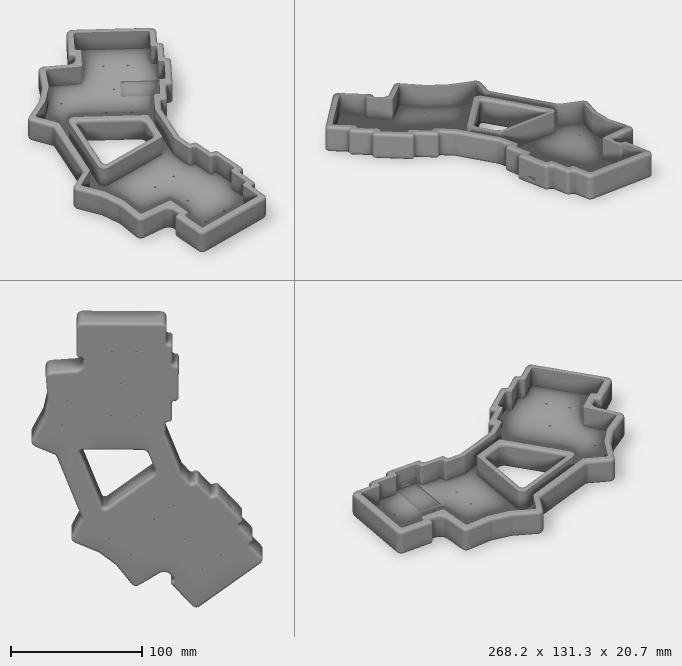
import cadquery as cq
import math


HEIGHT = 20.7
FLOOR = 3.2
WALL = 5.0
RIM_RADIUS = 2.5

SPLAY = 20
COLUMN = 18.5
STAGGER = 4.8
INNER_COLUMN = 45.5
OUTER_COLUMN = 85.7
BLOCK_SIDE = 123.0
BLOCK_BACK = 19.4
BLOCK_FRONT = -39.0
NOTCH_OUTER = 102.0
NOTCH_INNER = 81.7

THUMB_START_X = 31.5
THUMB_TIP = (45.5, -60.7)
THUMB_MIDDLE = (60.0, -46.2)
THUMB_OUTER = (75.5, -37.0)
THUMB_END = (95.7, -31.5)

BRIDGE_BACK = 27.7
BRIDGE_FRONT = -47.0
OPENING_BACK = 14.8
OPENING_FRONT = -34.0
OPENING_SIDE = 15.0

CAVITY_SHARP = 1.5
CAVITY_STEP = 2.0
OUTER_CORNER = 4.3
TIP_RADIUS = 4.8
OUTER_BEND = 3.0
STEP_RIDGE = 2.5
STEP_VALLEY = 2.2
NOTCH_RADIUS = 6.2
OPENING_FRONT_RADIUS = 2.5
OPENING_BACK_RADIUS = 5.0
RING_FRONT_RADIUS = 4.8
RING_BACK_RADIUS = 1.0

BACK_TONGUE = 10.0
FRONT_TONGUE = 15.3

SCREW_DIAMETER = 2.0
KEY_SCREWS = [(103.2, 2.0), (103.2, -17.0), (74.7, -10.0), (46.0, 2.2), (46.0, -17.2)]
THUMB_SCREWS = [(72.5, -27.7), (53.5, -38.5)]

RECESS_START = 65.0
RECESS_WIDTH = 19.0
RECESS_FRONT = -4.8
RECESS_DEPTH = 1.0
RECESS_IN_WALL = 0.8
RECESS_TOP = 6.0
PLUG_WIDTH = 8.0
PLUG_HEIGHT = 3.5
PLUG_ABOVE_FLOOR = 2.0

splay = math.radians(SPLAY)


def splayed(u, v):
    """Position (x, y) of a point of the right key block."""
    return (u * math.cos(splay) - v * math.sin(splay), u * math.sin(splay) + v * math.cos(splay))


def u_axis_point(u, y):
    """Position (x, y) on the slanted line of constant u, at the given y."""
    return ((u - y * math.sin(splay)) / math.cos(splay), y)


def v_axis_point(v, y):
    """Position (x, y) on the slanted line of constant v, at the given y."""
    return ((y * math.cos(splay) - v) / math.sin(splay), y)


def both_sides(corners):
    """Right-half corners (point, radii) followed by their mirror images."""
    return corners + [((-x, y), *radii) for (x, y), *radii in reversed(corners)]


def turn_at(before, corner, after):
    """Direction of arrival at a corner and signed turn taken there, in radians."""
    arrive = math.atan2(corner[1] - before[1], corner[0] - before[0])
    leave = math.atan2(after[1] - corner[1], after[0] - corner[0])
    return arrive, math.remainder(leave - arrive, math.tau)


def with_neighbours(points):
    """Each point of a closed polygon between the points before and after it."""
    return zip(points[-1:] + points[:-1], points, points[1:] + points[:1])


def grown(points, distance):
    """Counterclockwise polygon with every side moved outward by the distance."""
    moved = []
    for before, corner, after in with_neighbours(points):
        arrive, turn = turn_at(before, corner, after)
        outward = arrive + turn / 2 - math.pi / 2
        reach = distance / math.cos(turn / 2)
        moved.append((corner[0] + reach * math.cos(outward), corner[1] + reach * math.sin(outward)))
    return moved


def toward(start, end, distance):
    """Point at a distance from start on the way to end."""
    part = distance / math.dist(start, end)
    return (start[0] + (end[0] - start[0]) * part, start[1] + (end[1] - start[1]) * part)


def rounded_prism(points, radii, bottom, top):
    """Upright prism over a polygon whose corners are rounded, each by its own radius."""
    path = cq.Workplane("XY", origin=(0, 0, bottom))
    for i, (before, corner, after) in enumerate(with_neighbours(points)):
        half_turn = abs(turn_at(before, corner, after)[1]) / 2
        setback = radii[i] * math.tan(half_turn)
        start = toward(corner, before, setback)
        end = toward(corner, after, setback)
        chord_middle = ((start[0] + end[0]) / 2, (start[1] + end[1]) / 2)
        apex = toward(corner, chord_middle, radii[i] / math.cos(half_turn) - radii[i])
        path = path.lineTo(*start) if i else path.moveTo(*start)
        path = path.threePointArc(apex, end)
    return path.close().extrude(top - bottom)


def block(x_range, y_range, z_range):
    """Box between pairs of limits."""
    sizes = [high - low for low, high in (x_range, y_range, z_range)]
    return cq.Workplane("XY", origin=(x_range[0], y_range[0], z_range[0])).box(*sizes, centered=False)


row_1 = BLOCK_BACK + STAGGER
row_2 = BLOCK_BACK + 2 * STAGGER
notch_v = BLOCK_FRONT + STAGGER
ridge = (CAVITY_STEP, STEP_RIDGE)
valley = (CAVITY_STEP, STEP_VALLEY)
bend = (CAVITY_SHARP, OUTER_BEND)

outline = both_sides([
    ((THUMB_START_X, BRIDGE_FRONT), *bend),
    (THUMB_TIP, CAVITY_STEP, TIP_RADIUS),
    (THUMB_MIDDLE, *bend),
    (THUMB_OUTER, *bend),
    (THUMB_END, CAVITY_SHARP, OUTER_CORNER),
    (splayed(NOTCH_INNER, notch_v), CAVITY_SHARP, NOTCH_RADIUS),
    (splayed(NOTCH_OUTER, notch_v), CAVITY_SHARP, STEP_VALLEY),
    (splayed(NOTCH_OUTER, BLOCK_FRONT), *ridge),
    (splayed(BLOCK_SIDE, BLOCK_FRONT), CAVITY_SHARP, OUTER_CORNER),
    (splayed(BLOCK_SIDE, BLOCK_BACK), CAVITY_STEP, OUTER_CORNER),
    (splayed(OUTER_COLUMN + COLUMN, BLOCK_BACK), *valley),
    (splayed(OUTER_COLUMN + COLUMN, row_1), *ridge),
    (splayed(OUTER_COLUMN, row_1), *valley),
    (splayed(OUTER_COLUMN, row_2), *ridge),
    (splayed(INNER_COLUMN + COLUMN, row_2), *ridge),
    (splayed(INNER_COLUMN + COLUMN, row_1), *valley),
    (splayed(INNER_COLUMN, row_1), *ridge),
    (splayed(INNER_COLUMN, BLOCK_BACK), *valley),
    (v_axis_point(BLOCK_BACK, BRIDGE_BACK), *bend),
])
cavity_corners, cavity_radii, outer_radii = (list(column) for column in zip(*outline))

opening = both_sides([
    (u_axis_point(OPENING_SIDE, OPENING_FRONT), OPENING_FRONT_RADIUS, RING_FRONT_RADIUS),
    (u_axis_point(OPENING_SIDE, OPENING_BACK), OPENING_BACK_RADIUS, RING_BACK_RADIUS),
])
opening_corners, opening_radii, ring_radii = (list(column) for column in zip(*opening))


def walled_tray():
    """Floor with an outer wall and a wall around the opening, outer edges rounded."""
    body = rounded_prism(grown(cavity_corners, WALL), outer_radii, 0, HEIGHT)
    body = body.cut(rounded_prism(opening_corners, opening_radii, 0, HEIGHT))
    body = body.faces("<Z or >Z").edges().fillet(RIM_RADIUS)
    cavity = rounded_prism(cavity_corners, cavity_radii, FLOOR, HEIGHT)
    ring = rounded_prism(grown(opening_corners, WALL), ring_radii, FLOOR, HEIGHT)
    return body.cut(cavity.cut(ring))


def screw_holes():
    """Holes through the floor under both hands."""
    right_hand = [splayed(u, v) for u, v in KEY_SCREWS] + THUMB_SCREWS
    places = [(side * x, y) for x, y in right_hand for side in (1, -1)]
    return cq.Workplane("XY").pushPoints(places).circle(SCREW_DIAMETER / 2).extrude(FLOOR)


def controller_recess():
    """Shallow bed for the controller, running a little into the back wall, with its plug slot."""
    left_u = (-RECESS_START - RECESS_WIDTH, -RECESS_START)
    bed = block(left_u, (RECESS_FRONT, row_2 + RECESS_IN_WALL), (FLOOR - RECESS_DEPTH, FLOOR + RECESS_TOP))
    plug_slot = (
        cq.Workplane("XZ", origin=(sum(left_u) / 2, row_2, FLOOR + PLUG_ABOVE_FLOOR))
        .slot2D(PLUG_WIDTH, PLUG_HEIGHT)
        .extrude(-2 * WALL)
    )
    return bed.union(plug_slot).rotate((0, 0, 0), (0, 0, 1), -SPLAY)


def left_zone():
    """Space of the left half: x below zero, plus its own tongue, minus the other one."""
    reach = 2 * BLOCK_SIDE
    zone = block((-reach, 0), (-reach, reach), (0, HEIGHT))
    back_tongue = block((0, BACK_TONGUE), (OPENING_BACK + WALL, BRIDGE_BACK), (0, FLOOR))
    front_tongue = block((-FRONT_TONGUE, 0), (BRIDGE_FRONT, OPENING_FRONT - WALL), (0, FLOOR))
    return zone.union(back_tongue).cut(front_tongue)


tray = walled_tray().cut(screw_holes())
left_half = tray.intersect(left_zone()).cut(controller_recess())
right_half = tray.cut(left_zone())

result = cq.Compound.makeCompound([left_half.val(), right_half.val()])